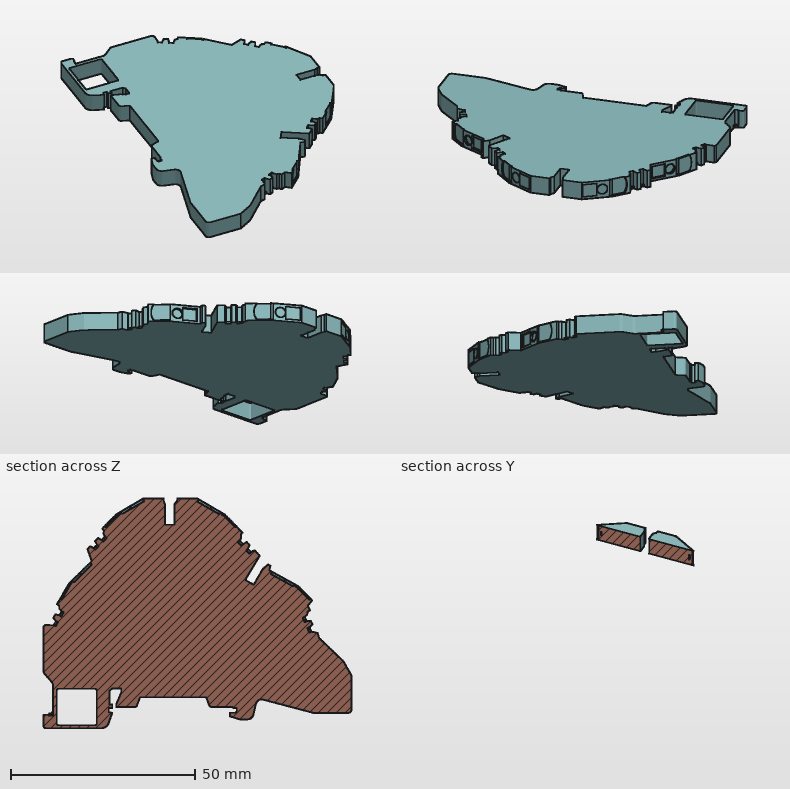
import cadquery as cq
import math

LENGTH = 83.75
HEIGHT = 62.5
THICKNESS = 5.0
SKIN = 0.5

UPPER_DEPTH = 0.7
WINDOW_START = 8.1
WINDOW_END = 4.2
WINDOW_WIDTH = 3.6
SCREW_DISTANCE = 2.7
SCREW_DIAMETER = 2.85
ENTRY_DEPTH = 0.4
ENTRY_LEAD = 0.7
ENTRY_WALL = 0.3
ENTRY_SIDE = 3.85
ENTRY_BULGE = 0.75

TOOTH_TOP = -1.0
GAP_FLOOR = -2.1
GAP_RECESS = 0.6
FIRST_GAP = (1.0, 2.3)
SECOND_GAP = (4.1, 5.4)
TOOTH_PROFILE = [
    (0, 0),
    (0.1, -0.75),
    (0.75, -1.2),
    (FIRST_GAP[0], GAP_FLOOR),
    (FIRST_GAP[1], GAP_FLOOR),
    (2.6, TOOTH_TOP),
    (3.8, TOOTH_TOP),
    (SECOND_GAP[0], GAP_FLOOR),
    (SECOND_GAP[1], GAP_FLOOR),
]

FOOT_WINDOW_LEFT, FOOT_WINDOW_RIGHT = 3.7, 14.5
FOOT_WINDOW_BOTTOM, FOOT_WINDOW_TOP = 0.9, 10.7
FOOT_WINDOW_RADIUS = 0.3

TOE_SKIN = 0.7
TOE_HEIGHT = 3.8
TOE_LEFT, SHIN_X = 1.4, 2.6
TOE_NOTCH_BOTTOM, TOE_NOTCH_TOP = 3.5, 4.7

RAIL_Y = 8.5
LIP_Y = 5.8
BASE_Y = 4.2
HOOK_Y = 2.4


class Slope:
    """Straight sloping stretch of the edge, running downhill to the left (-1) or the right (+1)."""

    def __init__(self, origin, angle, side):
        self.origin = origin
        self.side = side
        self.cos = math.cos(math.radians(angle))
        self.sin = math.sin(math.radians(angle))

    def at(self, along, out):
        """Point at a distance downhill and a distance outward from the origin."""
        x = self.origin[0] + self.side * (along * self.cos + out * self.sin)
        y = self.origin[1] - along * self.sin + out * self.cos
        return (x, y)

    def plane(self):
        """Plane on the slope: its x runs along the edge, its y along Z, and its normal is outward."""
        outward = (self.side * self.sin, self.cos, 0)
        along = (self.cos, -self.side * self.sin, 0)
        along_for_z_up = tuple(-value for value in along)
        return cq.Plane(origin=(*self.origin, 0), xDir=along_for_z_up, normal=outward)

    def on_plane(self, along):
        """Plane coordinate of a distance downhill."""
        return -self.side * along


class Connection:
    """Two facets meeting at a corner, with a row of teeth further down."""

    def __init__(self, corner, side, upper_angle, lower_angle, teeth_origin, teeth_angle):
        self.corner = corner
        self.turn = math.radians(lower_angle - upper_angle)
        self.upper = Slope(corner, upper_angle, side)
        self.lower = Slope(corner, lower_angle, side)
        self.teeth = Slope(teeth_origin, teeth_angle, side)

    def tooth_points(self):
        return [self.teeth.at(along, out) for along, out in TOOTH_PROFILE]


TOP_LEFT = Connection((19.9, 58.2), -1, 30, 45, (16.0, 54.3), 45)
LOW_LEFT = Connection((6.95, 39.3), -1, 45, 60, (3.7, 33.75), 60)
TOP_RIGHT = Connection((49.25, 58.1), 1, 30, 45, (54.1, 53.2), 45)
LOW_RIGHT = Connection((69.3, 38.6), 1, 29, 45, (72.45, 32.1), 65)
CONNECTIONS = [TOP_LEFT, LOW_LEFT, TOP_RIGHT, LOW_RIGHT]

BASE_CORNER = (LENGTH, BASE_Y)
HOOK_TIP = (56.8, HOOK_Y)
HOOK_ROOT = (58.1, 8.2)
HOOK_HEEL = (53.35, HOOK_Y)
RIGHT_LIP = (45.2, LIP_Y)
LEFT_LIP = (25.3, LIP_Y)
FOOT_CORNER = (0, 0)
TOE_TOP = (0, TOE_HEIGHT)
SHIN_TOP = (SHIN_X, 12.2)
FLANK_END = (0, 15.25)
FOOT_HEEL = (17.25, 0)

TOP_SLOT = [(32.75, HEIGHT), (32.75, 61.7), (33.1, 60.9), (33.1, 55.4),
            (35.6, 55.4), (35.6, 60.9), (36.3, 61.7), (36.4, HEIGHT)]
SIDE_SLOT = [(57.4, 48.4), (58.8, 46.9), (54.85, 40.4), (57.1, 39.0), (59.6, 43.4),
             (61.05, 44.55), (61.7, 44.1), (61.4, 43.0), (62.15, 42.55)]
RIGHT_END = [(73.3, 26.2), (74.5, 26.0), (74.9, 24.6), (81.5, 18.25), (LENGTH, 14.3),
             BASE_CORNER, (73.4, BASE_Y)]
HOOK = [HOOK_ROOT, HOOK_TIP, HOOK_HEEL, (50.7, 3.3), (50.7, 4.3), (52.1, 4.3),
        (52.5, 4.6), (52.5, 5.5), (51.6, 5.5), (51.4, LIP_Y)]
RAIL_SEAT = [RIGHT_LIP, (44.2, RAIL_Y), (26.3, RAIL_Y), LEFT_LIP, (19.8, LIP_Y)]
SPRING_GAP = [(19.8, 6.5), (21.1, 9.6), (21.1, 10.8), (18.7, 10.8), (18.0, 10.2),
              (18.0, 6.5), (18.8, 6.5), (18.8, 5.5), (17.8, 5.5), (17.8, 4.4), (18.8, 4.3)]
FOOT = [FOOT_HEEL, FOOT_CORNER, TOE_TOP, (TOE_LEFT, TOE_HEIGHT), (1.7, 4.1),
        (2.3, 4.1), (SHIN_X, TOE_NOTCH_TOP), SHIN_TOP, FLANK_END]
LEFT_END = [(0, 27.6), (0.5, 28.1), (2.4, 28.05)]
LEFT_SHOULDER = [(13.15, 45.4), (12.0, 48.7), (12.7, 49.5)]


def housing():
    """Outline of the housing, clockwise from the top slot, extruded over the full thickness."""
    outline = TOP_SLOT + [(41.8, HEIGHT), TOP_RIGHT.corner] + TOP_RIGHT.tooth_points()
    outline += SIDE_SLOT + [LOW_RIGHT.corner, (73.0, 34.75), (71.85, 33.3)] + LOW_RIGHT.tooth_points()
    outline += RIGHT_END + HOOK + RAIL_SEAT + SPRING_GAP + FOOT + LEFT_END
    outline += LOW_LEFT.tooth_points()[::-1] + [LOW_LEFT.corner] + LEFT_SHOULDER
    outline += TOP_LEFT.tooth_points()[::-1] + [TOP_LEFT.corner, (27.1, HEIGHT)]
    return cq.Workplane("XY").polyline(outline).close().extrude(THICKNESS)


def round_corner(body, corner, radius):
    """Fillet the upright edge that stands on one outline corner."""
    x, y = corner
    nearest = cq.selectors.NearestToPointSelector((x, y, THICKNESS / 2))
    return body.edges("|Z").edges(nearest).fillet(radius)


def foot_window():
    width = FOOT_WINDOW_RIGHT - FOOT_WINDOW_LEFT
    height = FOOT_WINDOW_TOP - FOOT_WINDOW_BOTTOM
    block = cq.Workplane("XY").box(width, height, THICKNESS, centered=False)
    block = block.edges("|Z").fillet(FOOT_WINDOW_RADIUS)
    return block.translate((FOOT_WINDOW_LEFT, FOOT_WINDOW_BOTTOM, 0))


def toe_notch():
    width = SHIN_X - TOE_LEFT
    height = TOE_NOTCH_TOP - TOE_NOTCH_BOTTOM
    block = cq.Workplane("XY").box(width, height, THICKNESS, centered=False)
    return block.translate((TOE_LEFT, TOE_NOTCH_BOTTOM, TOE_SKIN))


def gap_recess(teeth, start, end):
    """Deeper part of one gap between the teeth, above the skin."""
    bottom = GAP_FLOOR - GAP_RECESS
    corners = [(start, GAP_FLOOR), (end, GAP_FLOOR), (end, bottom), (start, bottom)]
    points = [teeth.at(along, out) for along, out in corners]
    return cq.Workplane("XY").workplane(offset=SKIN).polyline(points).close().extrude(THICKNESS)


def probe_window(upper):
    middle = upper.on_plane(-(WINDOW_START + WINDOW_END) / 2)
    face = cq.Workplane(upper.plane()).center(middle, THICKNESS / 2)
    return face.rect(WINDOW_START - WINDOW_END, WINDOW_WIDTH).extrude(-UPPER_DEPTH)


def screw_hole(upper):
    face = cq.Workplane(upper.plane()).center(upper.on_plane(-SCREW_DISTANCE), THICKNESS / 2)
    return face.circle(SCREW_DIAMETER / 2).extrude(-UPPER_DEPTH)


def wire_entry(connection):
    """Recess below the lower facet, open at the upper face and rounded at its far end."""
    upper, lower = connection.upper, connection.lower
    floor_bend = ENTRY_DEPTH * math.tan(connection.turn / 2)
    far_end = ENTRY_SIDE + ENTRY_BULGE
    section = [
        connection.corner,
        upper.at(-ENTRY_LEAD, 0),
        upper.at(-ENTRY_LEAD, -ENTRY_DEPTH),
        upper.at(-floor_bend, -ENTRY_DEPTH),
        lower.at(far_end, -ENTRY_DEPTH),
        lower.at(far_end, 0),
    ]
    band = cq.Workplane("XY").polyline(section).close().extrude(THICKNESS)

    near, side, tip = [lower.on_plane(along) for along in (-2 * ENTRY_LEAD, ENTRY_SIDE, far_end)]
    opening = (
        cq.Workplane(lower.plane())
        .moveTo(near, ENTRY_WALL)
        .lineTo(side, ENTRY_WALL)
        .threePointArc((tip, (ENTRY_WALL + THICKNESS) / 2), (side, THICKNESS))
        .lineTo(near, THICKNESS)
        .close()
        .extrude(-2 * ENTRY_DEPTH)
    )
    return band.intersect(opening)


body = housing()
for corner, radius in [
    (BASE_CORNER, 1.0),
    (HOOK_TIP, 1.7),
    (HOOK_ROOT, 1.5),
    (HOOK_HEEL, 0.8),
    (RIGHT_LIP, 0.8),
    (LEFT_LIP, 0.8),
    (FOOT_CORNER, 0.8),
    (TOE_TOP, 0.4),
    (SHIN_TOP, 1.3),
    (FLANK_END, 1.3),
    (FOOT_HEEL, 2.3),
]:
    body = round_corner(body, corner, radius)

body = body.cut(foot_window()).cut(toe_notch())
for connection in CONNECTIONS:
    for start, end in (FIRST_GAP, SECOND_GAP):
        body = body.cut(gap_recess(connection.teeth, start, end))
    body = body.cut(probe_window(connection.upper))
    body = body.cut(screw_hole(connection.upper))
    body = body.cut(wire_entry(connection))

result = body